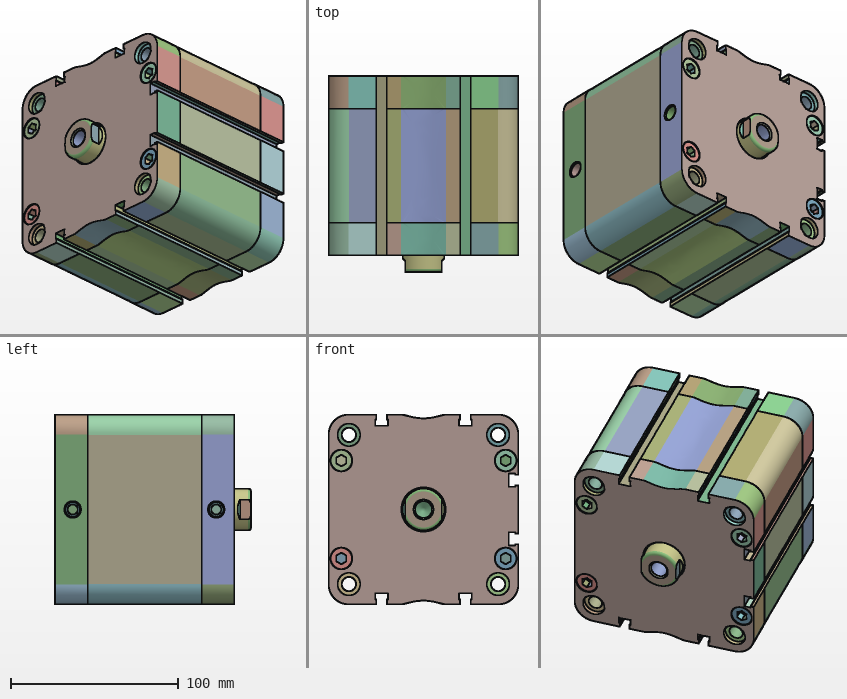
import math

import cadquery as cq

BODY_SIZE = 113.3
BODY_LENGTH = 107.0
CORNER_RADIUS = 12.0
CAP_LENGTH = 19.5
TUBE_INSET = 0.1
HALF = BODY_SIZE / 2

HOLLOW_HALF_WIDTH = 13.4
HOLLOW_DEPTH = 2.35
HOLLOW_VALLEY_RADIUS = 30.0

TOP_SLOT_OFFSET = 25.0
TOP_NECK_WIDTH = 6.2
TOP_NECK_DEPTH = 3.0
TOP_HEAD_WIDTH = 7.4
TOP_SLOT_DEPTH = 6.6
SIDE_SLOT_OFFSET = 17.5
SIDE_NECK_WIDTH = 6.2
SIDE_NECK_DEPTH = 2.0
SIDE_HEAD_WIDTH = 7.7
SIDE_SLOT_DEPTH = 5.8

MOUNT_OFFSET = 44.5
MOUNT_DIAMETER = 8.38
MOUNT_BORE_DIAMETER = 13.5
MOUNT_BORE_DEPTH = 2.9

SCREW_X = 49.0
SCREW_Z = 29.2
SCREW_HEAD_DIAMETER = 12.7
SCREW_RECESS_DIAMETER = 13.1
SCREW_RECESS_DEPTH = 8.0
SCREW_HEAD_DROP = 0.4
SCREW_HEX_FLATS = 6.0
SCREW_HEX_DEPTH = 6.0

PORT_FROM_FRONT = 10.8
PORT_FROM_BACK = 10.6
PORT_THREAD_DIAMETER = 8.57
PORT_MOUTH_DIAMETER = 9.98
PORT_THREAD_DEPTH = 9.0
PORT_BORE_DIAMETER = 6.0
PORT_BORE_DEPTH = 14.0

ROD_DIAMETER = 25.0
ROD_LENGTH = 10.0
ROD_END_ROUND = 1.8
ROD_FLATS = 22.0
ROD_FLAT_LENGTH = 6.6
ROD_HOLE_DIAMETER = 10.11
ROD_HOLE_MOUTH = 12.0
ROD_HOLE_DEPTH = 20.0
DRILL_TIP_ANGLE = 118.0
SEAL_DIAMETER = 25.5
SEAL_MOUTH_DIAMETER = 26.5
SEAL_DEPTH = 4.0


def box_between(x0, x1, y0, y1, z0, z1):
    """Box given by its lower and upper limit on each axis."""
    box = cq.Workplane("XY").box(x1 - x0, y1 - y0, z1 - z0, centered=False)
    return box.translate((x0, y0, z0))


def y_prism(sketch, y0, y1):
    """Extrude a sketch drawn in the XZ plane from y0 to y1."""
    return sketch.extrude(y0 - y1).translate((0, y0, 0))


def y_cylinder(diameter, y0, y1, x=0, z=0):
    """Round bar along Y between y0 and y1."""
    return y_prism(cq.Workplane("XZ").circle(diameter / 2), y0, y1).translate((x, 0, z))


def about_y(shape, angle):
    """Turn a shape around the part's Y axis."""
    return shape.rotate((0, 0, 0), (0, 1, 0), angle)


def hollow(half, y0, y1):
    """Cutter for the upper hollow: one smooth curve through a valley and two shoulders."""
    slope = 2 * math.atan(HOLLOW_DEPTH / HOLLOW_HALF_WIDTH)
    bottom = half - HOLLOW_DEPTH
    join_x = HOLLOW_VALLEY_RADIUS * math.sin(slope)
    join_z = bottom + HOLLOW_VALLEY_RADIUS * (1 - math.cos(slope))
    points = [
        (-HOLLOW_HALF_WIDTH, half),
        (-join_x, join_z),
        (0, bottom),
        (join_x, join_z),
        (HOLLOW_HALF_WIDTH, half),
    ]
    sketch = cq.Workplane("XZ").spline(points, tangents=[(1, 0), (1, 0)]).close()
    return y_prism(sketch, y0, y1)


def body_section(half, y0, y1):
    """Length of rounded square body with a hollow on its upper and lower faces."""
    section = y_prism(cq.Workplane("XZ").rect(2 * half, 2 * half), y0, y1)
    section = section.edges("|Y").fillet(CORNER_RADIUS)
    section_hollow = hollow(half, y0, y1)
    return section.cut(section_hollow).cut(about_y(section_hollow, 180))


def body_block():
    """Two end caps and the slightly smaller tube between them."""
    tube_end = BODY_LENGTH - CAP_LENGTH
    front_cap = body_section(HALF, 0, CAP_LENGTH)
    tube = body_section(HALF - TUBE_INSET, CAP_LENGTH, tube_end)
    back_cap = body_section(HALF, tube_end, BODY_LENGTH)
    return front_cap.union(tube).union(back_cap)


def t_slot(offset, neck_width, neck_depth, head_width, depth):
    """Cutter for a T-slot open at the upper face, centred on X = offset."""
    neck = box_between(
        offset - neck_width / 2, offset + neck_width / 2, 0, BODY_LENGTH, HALF - depth, HALF
    )
    head = box_between(
        offset - head_width / 2, offset + head_width / 2,
        0, BODY_LENGTH, HALF - depth, HALF - neck_depth,
    )
    return neck.union(head)


def cut_slots(body):
    """T-slots along the upper, lower and +X faces."""
    for turn in (0, 180):
        for side in (-1, 1):
            slot = t_slot(
                side * TOP_SLOT_OFFSET, TOP_NECK_WIDTH, TOP_NECK_DEPTH, TOP_HEAD_WIDTH,
                TOP_SLOT_DEPTH,
            )
            body = body.cut(about_y(slot, turn))
    for side in (-1, 1):
        slot = t_slot(
            side * SIDE_SLOT_OFFSET, SIDE_NECK_WIDTH, SIDE_NECK_DEPTH, SIDE_HEAD_WIDTH,
            SIDE_SLOT_DEPTH,
        )
        body = body.cut(about_y(slot, 90))
    return body


def cut_mounting_holes(body):
    for x in (-MOUNT_OFFSET, MOUNT_OFFSET):
        for z in (-MOUNT_OFFSET, MOUNT_OFFSET):
            body = body.cut(y_cylinder(MOUNT_DIAMETER, 0, BODY_LENGTH, x, z))
            body = body.cut(y_cylinder(MOUNT_BORE_DIAMETER, 0, MOUNT_BORE_DEPTH, x, z))
    return body


def screw_gap(x, z):
    """Cutter that leaves a socket screw head standing in its recess."""
    recess = y_cylinder(SCREW_RECESS_DIAMETER, 0, SCREW_RECESS_DEPTH, x, z)
    head = y_cylinder(SCREW_HEAD_DIAMETER, SCREW_HEAD_DROP, SCREW_RECESS_DEPTH, x, z)
    socket = (
        cq.Workplane("XZ")
        .polygon(6, SCREW_HEX_FLATS, circumscribed=True)
        .extrude(-SCREW_HEX_DEPTH)
    )
    return recess.cut(head).union(socket.translate((x, 0, z)))


def cut_screws(body):
    for x in (-SCREW_X, SCREW_X):
        for z in (-SCREW_Z, SCREW_Z):
            body = body.cut(screw_gap(x, z))
    return body


def port():
    """Cutter for one port: chamfered thread hole and narrower bore, around Z, open at Z = 0."""
    thread_radius = PORT_THREAD_DIAMETER / 2
    mouth_radius = PORT_MOUTH_DIAMETER / 2
    bore_radius = PORT_BORE_DIAMETER / 2
    return (
        cq.Workplane("XZ")
        .polyline([
            (0, 0),
            (mouth_radius, 0),
            (thread_radius, thread_radius - mouth_radius),
            (thread_radius, -PORT_THREAD_DEPTH),
            (bore_radius, -PORT_THREAD_DEPTH),
            (bore_radius, -PORT_BORE_DEPTH),
            (0, -PORT_BORE_DEPTH),
        ])
        .close()
        .revolve(360, (0, 0), (0, 1))
    )


def cut_ports(body):
    for y in (PORT_FROM_FRONT, BODY_LENGTH - PORT_FROM_BACK):
        body = body.cut(about_y(port(), -90).translate((-HALF, y, 0)))
    return body


def cut_seal(body):
    """Chamfered clearance hole around the rod."""
    hole_radius = SEAL_DIAMETER / 2
    mouth_radius = SEAL_MOUTH_DIAMETER / 2
    clearance = (
        cq.Workplane("XY")
        .polyline([
            (0, 0),
            (mouth_radius, 0),
            (hole_radius, mouth_radius - hole_radius),
            (hole_radius, SEAL_DEPTH),
            (0, SEAL_DEPTH),
        ])
        .close()
        .revolve(360, (0, 0), (0, 1))
    )
    return body.cut(clearance)


def piston_rod():
    """Rod with rounded end and two wrench flats that have sloped run-outs."""
    rod_radius = ROD_DIAMETER / 2
    rod = y_cylinder(ROD_DIAMETER, -ROD_LENGTH, SEAL_DEPTH)
    rod = rod.faces("<Y").edges().fillet(ROD_END_ROUND)

    flat_x = ROD_FLATS / 2
    flat_end = ROD_FLAT_LENGTH - ROD_LENGTH
    runout = rod_radius - flat_x
    flat = (
        cq.Workplane("XY")
        .polyline([
            (flat_x, -ROD_LENGTH),
            (flat_x, flat_end),
            (rod_radius, flat_end + runout),
            (rod_radius, -ROD_LENGTH),
        ])
        .close()
        .extrude(rod_radius, both=True)
    )
    return rod.cut(flat).cut(flat.mirror("YZ"))


def rod_hole():
    """Cutter for the chamfered, drilled hole in the rod end."""
    hole_radius = ROD_HOLE_DIAMETER / 2
    mouth_radius = ROD_HOLE_MOUTH / 2
    tip_length = hole_radius / math.tan(math.radians(DRILL_TIP_ANGLE / 2))
    hole_end = ROD_HOLE_DEPTH - ROD_LENGTH
    return (
        cq.Workplane("XY")
        .polyline([
            (0, -ROD_LENGTH),
            (mouth_radius, -ROD_LENGTH),
            (hole_radius, mouth_radius - hole_radius - ROD_LENGTH),
            (hole_radius, hole_end),
            (0, hole_end + tip_length),
        ])
        .close()
        .revolve(360, (0, 0), (0, 1))
    )


body = cut_slots(body_block())
body = cut_mounting_holes(body)
body = cut_screws(body)
body = cut_ports(body)
body = cut_seal(body)
result = body.union(piston_rod()).cut(rod_hole())